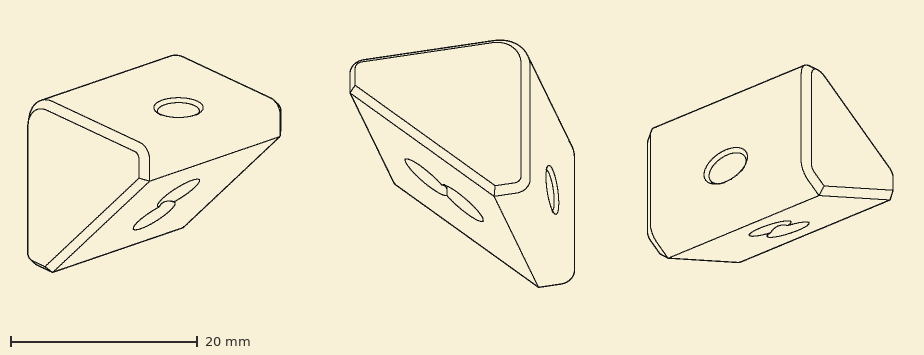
import cadquery as cq

size = 20.0
flat_end = 4.0
corner_radius = 4.0
tip_radius = 1.5
edge_chamfer = 0.8
hole_diameter = 4.5
hole_inset = 6.0
hole_chamfer = 0.4


def make_body():
    """Side profile extruded across the full width, with chamfered side faces."""
    outline = [(0, 0), (flat_end, 0), (size, size - flat_end), (size, size), (0, size)]
    body = cq.Workplane("XZ").polyline(outline).close().extrude(-size)
    body = body.edges("|Y and <X and >Z").fillet(corner_radius)
    body = body.edges(cq.selectors.NearestToPointSelector((0, size / 2, 0))).fillet(tip_radius)
    body = body.edges(cq.selectors.NearestToPointSelector((size, size / 2, size))).fillet(tip_radius)
    return body.faces("<Y or >Y").edges().chamfer(edge_chamfer)


def make_hole_cutter(mouth, direction):
    """Through hole with a 45 degree mouth, starting on a mounting face."""
    radius = hole_diameter / 2
    origin = cq.Vector(*mouth)
    axis = cq.Vector(*direction)
    bore = cq.Solid.makeCylinder(radius, size, origin, axis)
    cone = cq.Solid.makeCone(radius + hole_chamfer, radius, hole_chamfer, origin, axis)
    return bore.fuse(cone)


top_hole = make_hole_cutter((size - hole_inset, size / 2, size), (0, 0, -1))
side_hole = make_hole_cutter((0, size / 2, hole_inset), (1, 0, 0))

result = make_body().cut(cq.Workplane(top_hole)).cut(cq.Workplane(side_hole))